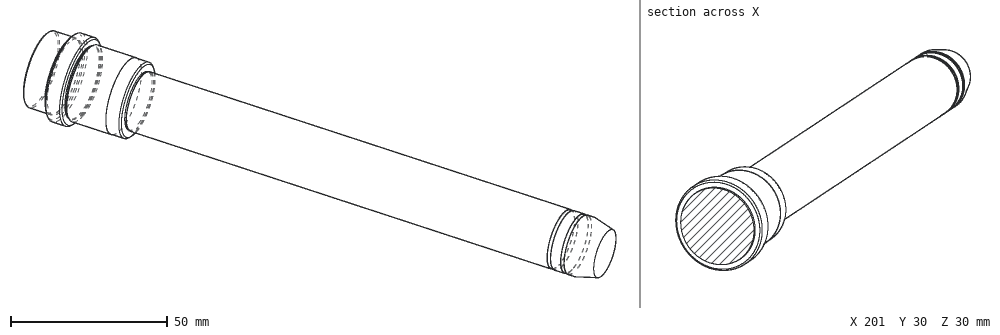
import cadquery as cq
import math

length = 201.0
head_diameter = 26.0
collar_diameter = 30.0
shaft_diameter = 20.0

head_end = 7.8
collar_start = 8.6
collar_end = 14.7
body_start = 15.0
body_step = 29.5
body_end = 34.8
shaft_start = 35.4
tip_taper_start = 193.8
groove_starts = (185.3, 190.1)

head_chamfer = 0.5
collar_chamfer = 0.6
body_chamfer = 0.6
undercut_depth = 0.2
body_lead_diameter = 25.7
groove_width = 1.2
groove_depth = 0.2
tip_taper_angle = 15.0

head_radius = head_diameter / 2
collar_radius = collar_diameter / 2
lead_radius = body_lead_diameter / 2
shaft_radius = shaft_diameter / 2
front_neck_radius = head_radius - undercut_depth
rear_neck_radius = head_radius - body_chamfer
shaft_neck_radius = shaft_radius - undercut_depth
groove_radius = shaft_radius - groove_depth
tip_radius = shaft_radius - (length - tip_taper_start) * math.tan(math.radians(tip_taper_angle))

profile = [
    (0, 0),
    (0, head_radius - head_chamfer),
    (head_chamfer, head_radius),
    (head_end, head_radius),
    (head_end, front_neck_radius),
    (collar_start, front_neck_radius),
    (collar_start, collar_radius - collar_chamfer),
    (collar_start + collar_chamfer, collar_radius),
    (collar_end - collar_chamfer, collar_radius),
    (collar_end, collar_radius - collar_chamfer),
    (collar_end, rear_neck_radius),
    (body_start, rear_neck_radius),
    (body_start + body_chamfer, head_radius),
    (body_step, head_radius),
    (body_step, lead_radius),
    (body_end - body_chamfer, lead_radius),
    (body_end, lead_radius - body_chamfer),
    (body_end, shaft_neck_radius),
    (shaft_start, shaft_neck_radius),
    (shaft_start, shaft_radius),
]

for groove_start in groove_starts:
    groove_end = groove_start + groove_width
    profile += [
        (groove_start, shaft_radius),
        (groove_start, groove_radius),
        (groove_end, groove_radius),
        (groove_end, shaft_radius),
    ]

profile += [
    (tip_taper_start, shaft_radius),
    (length, tip_radius),
    (length, 0),
]

outline = cq.Workplane("XY").polyline(profile).close()
result = outline.revolve(360, (0, 0, 0), (1, 0, 0)).translate((-length / 2, 0, 0))